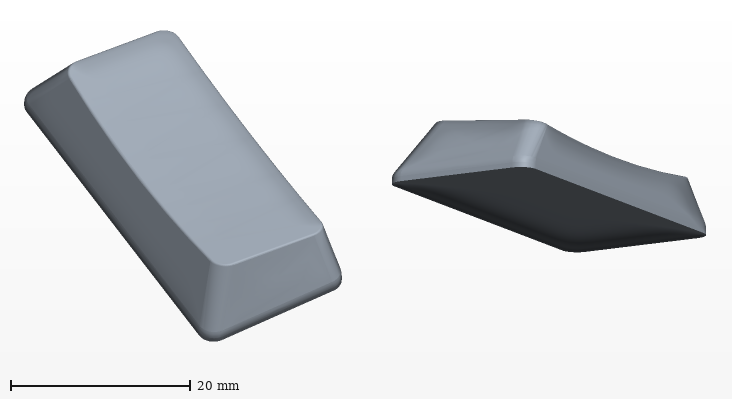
import cadquery as cq
import math

length = 41.95
depth = 18.17
corner_radius = 1.9
rim_radius = 0.3

skirt_height = 0.6
bend_radius = 1.5
bend_angle = 30.0
bend_sections = 4

top_length = 34.65
front_inset = 3.7
back_inset = 0.4
front_height = 7.45
top_tilt = 5.7
dish_sag = 1.05
dish_length = 54.55
wall_overrun = 1.2

top_front = -depth / 2 + front_inset
top_back = depth / 2 - back_inset
tilt = math.radians(top_tilt)
back_height = front_height - (top_back - top_front) * math.tan(tilt)


def rounded_outline(size_x, front, back):
    """Closed rounded rectangle whose front and back edges pass through the (y, z) points given."""
    (front_y, front_z), (back_y, back_z) = front, back
    run = back_y - front_y
    rise = back_z - front_z
    plane = cq.Plane(
        origin=(0, (front_y + back_y) / 2, (front_z + back_z) / 2),
        xDir=(1, 0, 0),
        normal=(0, -rise, run),
    )
    face = cq.Face.makePlane(length=math.hypot(run, rise), width=size_x)
    face = face.fillet2D(corner_radius, face.Vertices())
    return face.outerWire().moved(plane.location)


def bend_outline(angle):
    """Level outline where the bend has turned inwards by the given angle in radians."""
    inset = bend_radius * (1 - math.cos(angle))
    height = skirt_height + bend_radius * math.sin(angle)
    front_y = -depth / 2 + inset
    back_y = depth / 2 - inset * back_inset / front_inset
    return rounded_outline(length - 2 * inset, (front_y, height), (back_y, height))


def overrun(start, end):
    """Point beyond end on the line from start through end."""
    return start + wall_overrun * (end - start)


def tapered_body():
    """Skirt, bend and leaning walls, reaching above the finished top."""
    full_bend = math.radians(bend_angle)
    bend_outlines = [bend_outline(full_bend * i / (bend_sections - 1)) for i in range(bend_sections)]
    wall_foot = bend_outlines[-1]
    foot = wall_foot.BoundingBox()
    wall_end = rounded_outline(
        overrun(foot.xlen, top_length),
        (overrun(foot.ymin, top_front), overrun(foot.zmin, front_height)),
        (overrun(foot.ymax, top_back), overrun(foot.zmin, back_height)),
    )

    skirt = cq.Workplane("XY").rect(length, depth).extrude(skirt_height)
    skirt = skirt.edges("|Z").fillet(corner_radius)
    bend = cq.Solid.makeLoft(bend_outlines)
    walls = cq.Solid.makeLoft([wall_foot, wall_end], ruled=True)
    return skirt.union(cq.Workplane(bend)).union(cq.Workplane(walls))


def dish():
    """Tilted cylinder whose underside is the hollow top surface."""
    radius = ((top_length / 2) ** 2 + dish_sag**2) / (2 * dish_sag)
    axis = cq.Vector(0, math.cos(tilt), -math.sin(tilt))
    up = cq.Vector(0, math.sin(tilt), math.cos(tilt))
    start = cq.Vector(0, top_front, front_height) + up * (radius - dish_sag) - axis * (dish_length / 2)
    return cq.Workplane(cq.Solid.makeCylinder(radius, dish_length, start, axis))


body = tapered_body().cut(dish())
result = body.faces(">Z").edges().fillet(rim_radius)